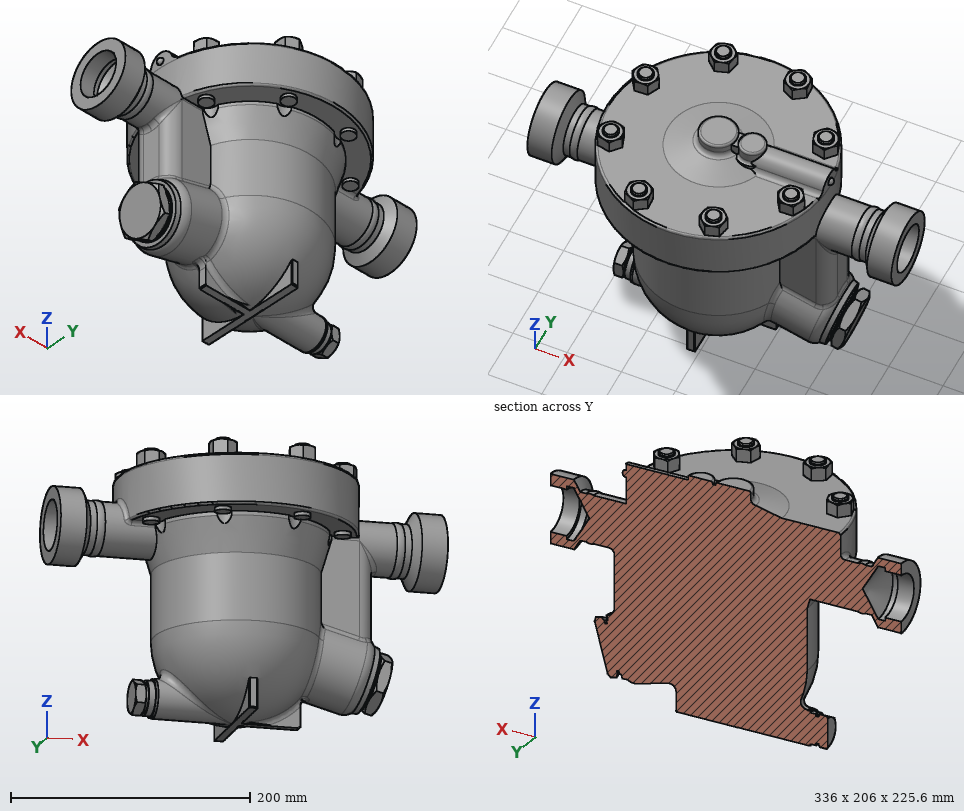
import cadquery as cq
import math


contact = 0.001

inlet_x = -161.0
outlet_x = 175.0
pipe_radius = 23.0
nozzle_radius = 33.0
nozzle_length = 22.5
nozzle_cone_length = 6.0
bead_start = 34.4
bead_length = 7.0
bead_rise = 0.8
flange_blend = 4.0
socket_radius = 43.26 / 2
socket_depth = 15.5
relief_radius = 49.5 / 2
relief_end = 22.0
drill_point_half_angle = math.radians(59)

flange_radius = 103.0
flange_top = 47.0
flange_bottom = 2.3
flange_top_round = 2.0
flange_bottom_round = 2.0
bolt_count = 8
bolt_circle_radius = 90.0
first_bolt_angle = 22.5
stud_radius = 7.0
stud_bottom = -1.0
stud_top = 61.8
stud_chamfer = 1.2
nut_across_flats = 21.0
nut_height = 12.2
nut_turn = 25.5
nut_chamfer_slope = math.tan(math.radians(30))
spotface_radius = 12.0
spotface_depth = 12.0

vessel_radius = 71.3
neck_top_radius = 80.0
neck_top = -1.0
neck_bottom = -31.0
base_z = -161.0
dome_z = base_z + vessel_radius

foot_reach = 55.0
foot_thickness = 7.6
foot_height = 30.0
foot_corner = 1.0
rear_foot_lift = 1.0
rear_foot_blend = 5.0

cover_cone_radius = 46.5
cover_cone_top = 52.7
boss_radius = 17.0
boss_top = 64.6
boss_round = 2.0
boss_root_round = 4.5
vent_boss_x = 31.5
vent_boss_radius = 12.0
vent_boss_root_round = 3.0
vent_boss_base = 52.0
bridge_width = 15.0
bridge_top = 62.0
rib_half_width = 18.5
rib_radius = 13.3
rib_end = 103.0
knob_radius = 3.4
knob_z = 50.8

chamber_half_width = pipe_radius
chamber_end = 114.2
chamber_corner = 13.5
chamber_bottom = -110.0
chamber_outlet_blend = 5.0

housing_tilt = 15.0
housing_face_x = 114.0
housing_face_z = -114.9
housing_radius = 33.8
housing_face_radius = 29.0
housing_rim_step = 1.0
housing_shoulder = 13.5
housing_rim = 5.0
housing_length = 75.0
housing_blend = 6.0
valve_collar_radius = 49.5 / 2
valve_collar_length = 1.6
valve_neck_radius = 43.26 / 2
valve_neck_end = 3.0
valve_hex_flats = 48.0
valve_hex_end = 13.3

drain_radius = 16.9
drain_z = base_z + 17.0
drain_blend = 6.0
drain_face_x = -71.8
drain_rim_radius = 16.5
drain_rim_length = 2.0
drain_gasket_radius = 15.0
drain_gasket_length = 5.6
drain_neck_radius = 13.0
drain_hex_flats = 27.0
drain_hex_start = 9.6
drain_hex_end = 18.9


def turned(profile):
    """Solid of revolution about Z from (radius, z) points."""
    return cq.Workplane("XZ").polyline(profile).close().revolve(360, (0, 0, 0), (0, 1, 0))


def hexagon(flats, height, chamfer_both=False):
    """Hexagon prism standing on z = 0 with its upper corners (or both ends) turned off conically."""
    corner_radius = flats / math.sqrt(3)
    inner_radius = flats / 2
    drop = (corner_radius - inner_radius) * nut_chamfer_slope
    if chamfer_both:
        lower_end = [(inner_radius, 0), (corner_radius, drop)]
    else:
        lower_end = [(corner_radius, 0)]
    upper_end = [(corner_radius, height - drop), (inner_radius, height)]
    envelope = turned([(0, 0)] + lower_end + upper_end + [(0, height)])
    prism = cq.Workplane("XY").polygon(6, 2 * corner_radius).extrude(height)
    return prism.intersect(envelope)


def touches(edge, shape):
    """True when both quarter points and the middle of the edge lie on the skin of the shape."""
    skin = cq.Compound.makeCompound(shape.faces().vals())
    points = [edge.positionAt(fraction) for fraction in (0.25, 0.5, 0.75)]
    return all(cq.Vertex.makeVertex(*p.toTuple()).distance(skin) < contact for p in points)


def seams(joined, first, second):
    """Edges of the joined shape where the skins of its two parts meet."""
    return [e for e in joined.edges().vals() if touches(e, first) and touches(e, second)]


def blended(base, added, radius):
    """Joins two shapes and rounds the edges where their surfaces meet."""
    joined = base.union(added)
    return joined.newObject(seams(joined, base, added)).fillet(radius)


def flange():
    body = cq.Workplane("XY").workplane(offset=flange_bottom).circle(flange_radius)
    body = body.extrude(flange_top - flange_bottom)
    body = body.faces(">Z").edges().fillet(flange_top_round)
    return body.faces("<Z").edges().fillet(flange_bottom_round)


def vessel():
    profile = (
        cq.Workplane("XZ")
        .moveTo(0, base_z)
        .radiusArc((vessel_radius, dome_z), -vessel_radius)
        .lineTo(vessel_radius, neck_bottom)
        .lineTo(neck_top_radius, neck_top)
        .lineTo(neck_top_radius, flange_bottom)
        .lineTo(0, flange_bottom)
        .close()
    )
    body = profile.revolve(360, (0, 0, 0), (0, 1, 0))
    spotfaces = (
        cq.Workplane("XY")
        .workplane(offset=flange_bottom)
        .polarArray(bolt_circle_radius, first_bolt_angle, 360, bolt_count)
        .circle(spotface_radius)
        .extrude(-spotface_depth)
    )
    return body.cut(spotfaces)


def pipe_end(end_x):
    """Pipe from the vessel axis to a nozzle at end_x, and the socket to cut from it."""
    length = abs(end_x)
    cone_end = length - nozzle_length - nozzle_cone_length
    bead_outer = length - bead_start
    bead_inner = bead_outer - bead_length
    pipe = (
        cq.Workplane("XZ")
        .moveTo(0, 0)
        .lineTo(pipe_radius, 0)
        .lineTo(pipe_radius, bead_inner)
        .threePointArc(
            (pipe_radius + bead_rise, (bead_inner + bead_outer) / 2), (pipe_radius, bead_outer)
        )
        .lineTo(pipe_radius, cone_end)
        .lineTo(nozzle_radius, length - nozzle_length)
        .lineTo(nozzle_radius, length)
        .lineTo(0, length)
        .close()
        .revolve(360, (0, 0, 0), (0, 1, 0))
    )
    point_depth = relief_end + relief_radius / math.tan(drill_point_half_angle)
    socket = turned(
        [
            (0, length),
            (socket_radius, length),
            (socket_radius, length - socket_depth),
            (relief_radius, length - socket_depth),
            (relief_radius, length - relief_end),
            (0, length - point_depth),
        ]
    )
    turn = math.copysign(90, end_x)
    axis_end = (0, 1, 0)
    return pipe.rotate((0, 0, 0), axis_end, turn), socket.rotate((0, 0, 0), axis_end, turn)


def bolting():
    nut = hexagon(nut_across_flats, nut_height).translate((0, 0, flange_top))
    stud = cq.Workplane("XY").workplane(offset=stud_bottom).circle(stud_radius)
    stud = stud.extrude(stud_top - stud_bottom).faces(">Z").chamfer(stud_chamfer)
    bolt = nut.rotate((0, 0, 0), (0, 0, 1), nut_turn).union(stud)
    bolt = bolt.translate((bolt_circle_radius, 0, 0))
    bolts = cq.Workplane("XY")
    for index in range(bolt_count):
        angle = first_bolt_angle + index * 360 / bolt_count
        bolts = bolts.add(bolt.rotate((0, 0, 0), (0, 0, 1), angle))
    return bolts


def round_boss(radius, base, root_round):
    """Boss about Z with a rounded top edge and a root curve running out at height base."""
    return (
        cq.Workplane("XZ")
        .moveTo(0, flange_top)
        .lineTo(radius + root_round, flange_top)
        .lineTo(radius + root_round, base)
        .radiusArc((radius, base + root_round), root_round)
        .lineTo(radius, boss_top - boss_round)
        .radiusArc((radius - boss_round, boss_top), -boss_round)
        .lineTo(0, boss_top)
        .close()
        .revolve(360, (0, 0, 0), (0, 1, 0))
    )


def cover_rib():
    """Half-round rib along X, blended into the cover by a fillet on each side."""
    root_round = (rib_half_width**2 - rib_radius**2) / (2 * rib_radius)
    reach = rib_radius / (rib_radius + root_round)
    tangent_y = rib_half_width * reach
    tangent_z = flange_top + root_round * reach
    return (
        cq.Workplane("YZ")
        .workplane(offset=vent_boss_x)
        .moveTo(-rib_half_width, flange_top - flange_top_round)
        .lineTo(-rib_half_width, flange_top)
        .radiusArc((-tangent_y, tangent_z), -root_round)
        .threePointArc((0, flange_top + rib_radius), (tangent_y, tangent_z))
        .radiusArc((rib_half_width, flange_top), -root_round)
        .lineTo(rib_half_width, flange_top - flange_top_round)
        .close()
        .extrude(rib_end - vent_boss_x)
    )


def cover_top():
    """Raised cone with the central boss, the vent boss and the passage rib towards the outlet."""
    cone = turned(
        [
            (0, flange_top),
            (cover_cone_radius, flange_top),
            (boss_radius + boss_root_round, cover_cone_top),
            (0, cover_cone_top),
        ]
    )
    centre = round_boss(boss_radius, cover_cone_top, boss_root_round)
    vent = round_boss(vent_boss_radius, vent_boss_base, vent_boss_root_round)
    vent = vent.translate((vent_boss_x, 0, 0))
    bridge = cq.Workplane("XY").box(
        vent_boss_x, bridge_width, bridge_top - flange_top, centered=(False, True, False)
    )
    bridge = bridge.translate((0, 0, flange_top))
    rib = cover_rib().intersect(cq.Workplane("XY").circle(flange_radius).extrude(boss_top))
    knob = cq.Workplane("XY").sphere(knob_radius).translate((rib_end, 0, knob_z))
    return cone.union(rib).union(bridge).union(centre).union(vent).union(knob)


def foot():
    """Plate along +X, from the vessel axis to its chamfered outer edge."""
    plate = cq.Workplane("XY").box(
        foot_reach, foot_thickness, foot_height, centered=(False, True, False)
    )
    return plate.faces(">X").edges().chamfer(foot_corner).translate((0, 0, base_z))


def rear_foot_core():
    """Upper part of the +X foot, raised clear of the lowest point of the dome to be blended."""
    core = cq.Workplane("XY").box(
        foot_reach, foot_thickness, foot_height - rear_foot_lift, centered=(False, True, False)
    )
    return core.translate((0, 0, base_z + rear_foot_lift))


def valve_chamber():
    block = cq.Workplane("XY").workplane(offset=chamber_bottom)
    block = block.rect(2 * chamber_end, 2 * chamber_half_width).extrude(-chamber_bottom)
    block = block.edges("|Z and >X").fillet(chamber_corner)
    crown = cq.Workplane("YZ").circle(chamber_half_width).extrude(chamber_end - chamber_corner)
    right_half = cq.Workplane("XY").box(
        chamber_end, 2 * flange_radius, -2 * chamber_bottom, centered=(False, True, True)
    )
    return block.intersect(right_half).union(crown)


def housing_placed(shape):
    """Puts a shape turned about Z on the housing axis, with z = 0 at the housing face."""
    shape = shape.rotate((0, 0, 0), (0, 1, 0), 90 + housing_tilt)
    return shape.translate((housing_face_x, 0, housing_face_z))


def valve_housing():
    profile = (
        cq.Workplane("XZ")
        .moveTo(0, -housing_length)
        .lineTo(housing_radius, -housing_length)
        .lineTo(housing_radius, -housing_shoulder)
        .tangentArcPoint((housing_face_radius + housing_rim_step, -housing_rim), relative=False)
        .lineTo(housing_face_radius, 0)
        .lineTo(0, 0)
        .close()
    )
    return housing_placed(profile.revolve(360, (0, 0, 0), (0, 1, 0)))


def valve_plug():
    stem = turned(
        [
            (0, 0),
            (valve_collar_radius, 0),
            (valve_collar_radius, valve_collar_length),
            (valve_neck_radius, valve_collar_length),
            (valve_neck_radius, valve_neck_end),
            (0, valve_neck_end),
        ]
    )
    head = hexagon(valve_hex_flats, valve_hex_end - valve_neck_end, chamfer_both=True)
    return housing_placed(stem.union(head.translate((0, 0, valve_neck_end))))


def drain_boss():
    boss = cq.Workplane("YZ").center(0, drain_z).circle(drain_radius)
    return boss.extrude(drain_face_x)


def drain_plug():
    stem = turned(
        [
            (0, 0),
            (drain_rim_radius, 0),
            (drain_rim_radius, drain_rim_length),
            (drain_gasket_radius, drain_rim_length),
            (drain_gasket_radius, drain_rim_length + drain_gasket_length),
            (drain_neck_radius, drain_rim_length + drain_gasket_length),
            (drain_neck_radius, drain_hex_start),
            (0, drain_hex_start),
        ]
    )
    head = hexagon(drain_hex_flats, drain_hex_end - drain_hex_start, chamfer_both=True)
    plug = stem.union(head.translate((0, 0, drain_hex_start)))
    return plug.rotate((0, 0, 0), (0, 1, 0), -90).translate((drain_face_x, 0, drain_z))


inlet, inlet_socket = pipe_end(inlet_x)
outlet, outlet_socket = pipe_end(outlet_x)

outlet_branch = blended(valve_chamber(), outlet, chamber_outlet_blend)
body = blended(vessel(), drain_boss(), drain_blend)
body = blended(body, rear_foot_core(), rear_foot_blend).union(outlet_branch)
body = blended(body, valve_housing(), housing_blend)
for foot_angle in (0, 90, -90):
    body = body.union(foot().rotate((0, 0, 0), (0, 0, 1), foot_angle))

rim = flange()
body = body.union(rim).union(inlet)
underside_seams = [e for e in seams(body, rim, inlet) if e.geomType() == "LINE"]
body = body.newObject(underside_seams).fillet(flange_blend)

result = body.union(cover_top())
for bolt in bolting().vals():
    result = result.union(cq.Workplane(bolt))
result = result.union(valve_plug()).union(drain_plug())
result = result.cut(inlet_socket).cut(outlet_socket)